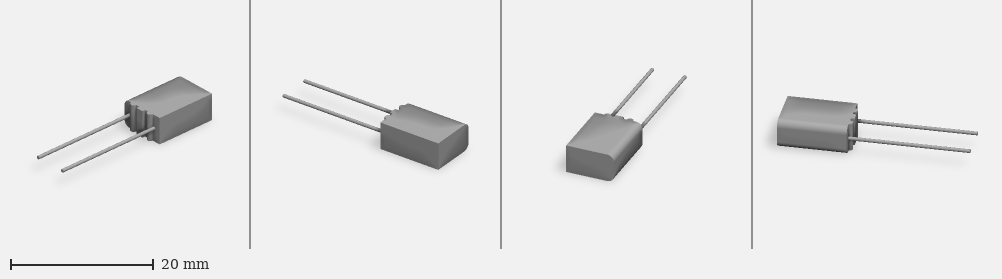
import cadquery as cq

width = 7.3
height = 10.0
thickness = 4.3
corner_radius = 1.0

standoff = 0.5
center_rib_width = 1.25
round_rib_offset = 1.72

lead_pitch = 5.0
lead_diameter = 0.53
lead_length = 17.5


def make_housing():
    """Block with two rounded long edges on -X and three standoff ribs on its seating face."""
    block = cq.Workplane("XY").box(width, height, thickness, centered=(True, False, True))
    block = block.edges("<X and |Y").fillet(corner_radius)
    block = block.union(make_center_rib())
    for side in (-1, 1):
        block = block.union(make_round_rib(side * round_rib_offset))
    return block


def make_center_rib():
    """Square rib on the centre line, from the seating face down to the standoff depth."""
    rib = cq.Workplane("XY").box(center_rib_width, standoff, thickness, centered=(True, False, True))
    return rib.translate((0, -standoff, 0))


def make_round_rib(x):
    """Half-round rib whose radius is the standoff depth."""
    return (
        cq.Workplane("XY", origin=(x, 0, -thickness / 2))
        .moveTo(-standoff, 0)
        .threePointArc((0, -standoff), (standoff, 0))
        .close()
        .extrude(thickness)
    )


def make_lead(x):
    """Straight round wire that starts at the seating face and points toward -Y."""
    return (
        cq.Workplane("XZ", origin=(x, 0, 0))
        .circle(lead_diameter / 2)
        .extrude(lead_length)
    )


housing = make_housing()
leads = [make_lead(side * lead_pitch / 2) for side in (-1, 1)]

result = cq.Compound.makeCompound([housing.val(), *[lead.val() for lead in leads]])